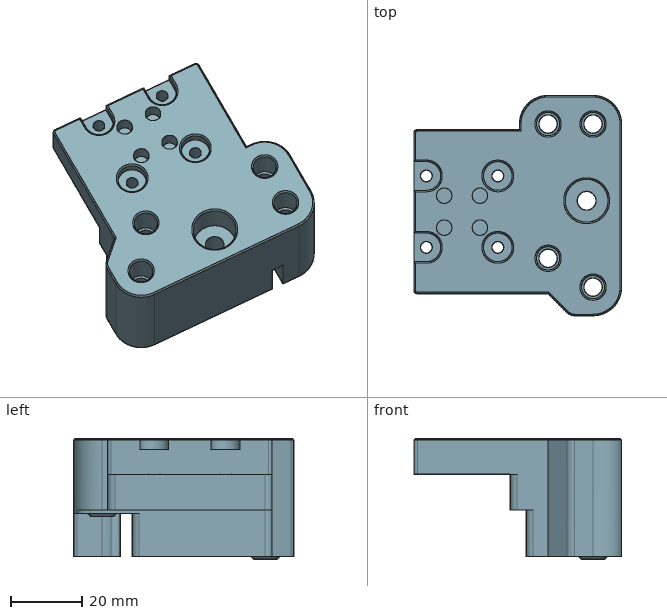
import cadquery as cq
import math

ARC_MIDDLE_INSET = 1 - math.sqrt(0.5)

length = 58.2
width = 61.75
height = 33.05
corner_radius = 8.0
top_chamfer = 0.45

plate_front = 6.2
plate_back = 52.2
plate_middle = (plate_front + plate_back) / 2
plate_thickness = 10.0
plate_corner_radius = 1.0
boss_left = 29.6
slant_corner_radius = 3.0

step_radius = 2.0
step_drop = 10.0
middle_step_left = 27.0
middle_step_z = height - plate_thickness
lower_step_left = 31.4
lower_step_z = middle_step_z - step_drop
boss_blend_radius = 4.0

recess_z = 12.05
recess_front = 45.3
leg_front = 48.65
leg_corner_radius = 1.0
leg_clearance_radius = 8.0

left_screw_x = boss_left + corner_radius
right_screw_x = length - corner_radius
back_screw_y = width - corner_radius
front_screw_y = corner_radius
inner_screw_y = 16.1
screw_points = [
    (left_screw_x, back_screw_y),
    (right_screw_x, back_screw_y),
    (left_screw_x, inner_screw_y),
    (right_screw_x, front_screw_y),
]
screw_diameter = 5.05
screw_bore_diameter = 6.5
screw_bore_depth = 10.0

seat_diameter = 8.0
seat_height = 0.8
seat_tip_diameter = seat_diameter - 2 * seat_height

bore_point = (48.4, 32.2)
bore_diameter = 12.0
bore_depth = screw_bore_depth
bore_hole_diameter = 5.2

pocket_spacing = 20.0
left_pocket_x = 3.5
right_pocket_x = left_pocket_x + pocket_spacing
pocket_ys = [plate_middle - pocket_spacing / 2, plate_middle + pocket_spacing / 2]
pocket_diameter = 8.0
pocket_depth = 3.0
mount_hole_diameter = 3.2

blind_spacing_x = pocket_spacing / 2
blind_spacing_y = 8.95
blind_diameter = 4.3
blind_depth = 5.0
blind_centre = ((left_pocket_x + right_pocket_x) / 2, plate_middle)


def outline_block():
    """Full-height block with the outline of the top face."""
    slant_foot_x = left_screw_x + plate_front
    block = (
        cq.Workplane("XY")
        .moveTo(0, plate_front)
        .lineTo(left_screw_x, plate_front)
        .lineTo(slant_foot_x, 0)
        .lineTo(length, 0)
        .lineTo(length, width)
        .lineTo(boss_left, width)
        .lineTo(boss_left, plate_back)
        .lineTo(0, plate_back)
        .close()
        .extrude(height)
    )

    def round_corners(solid, points, radius):
        for x, y in points:
            corner = cq.selectors.NearestToPointSelector((x, y, height / 2))
            solid = solid.edges("|Z").edges(corner).fillet(radius)
        return solid

    block = round_corners(block, [(0, plate_front), (0, plate_back)], plate_corner_radius)
    block = round_corners(block, [(slant_foot_x, 0)], slant_corner_radius)
    return round_corners(block, [(length, 0), (length, width), (boss_left, width)], corner_radius)


def box(x_min, x_max, y_min, y_max, z_min, z_max):
    """Box given by its limits."""
    block = cq.Workplane("XY").box(x_max - x_min, y_max - y_min, z_max - z_min, centered=False)
    return block.translate((x_min, y_min, z_min))


def cylinders(points, diameter, z_min, z_max):
    """Upright cylinders between two heights."""
    base = cq.Workplane("XY", origin=(0, 0, z_min)).pushPoints(points)
    return base.circle(diameter / 2).extrude(z_max - z_min)


def middle_step_cut():
    """Space left of the middle step; the step has both of its left corners rounded."""
    step = box(middle_step_left, length, plate_front, plate_back, lower_step_z, middle_step_z)
    step = step.edges("|Z and <X").fillet(step_radius)
    return box(0, boss_left, plate_front, plate_back, lower_step_z, middle_step_z).cut(step)


def lower_step_cut():
    """Space left of the lower step, blending at the back into the rounded corner of the boss."""
    blend_x = lower_step_left + boss_blend_radius
    centre_distance = corner_radius - boss_blend_radius
    centre_dx = left_screw_x - blend_x
    blend_y = back_screw_y + math.sqrt(centre_distance**2 - centre_dx**2)
    reach = corner_radius / centre_distance
    tangent_x = left_screw_x - reach * centre_dx
    tangent_y = back_screw_y + reach * (blend_y - back_screw_y)
    middle_angle = (math.pi + math.atan2(blend_y - back_screw_y, -centre_dx)) / 2
    blend_middle = (
        blend_x + boss_blend_radius * math.cos(middle_angle),
        blend_y + boss_blend_radius * math.sin(middle_angle),
    )
    front_middle = (
        lower_step_left + step_radius * ARC_MIDDLE_INSET,
        plate_front + step_radius * ARC_MIDDLE_INSET,
    )
    return (
        cq.Workplane("XY")
        .moveTo(0, plate_front)
        .lineTo(lower_step_left + step_radius, plate_front)
        .threePointArc(front_middle, (lower_step_left, plate_front + step_radius))
        .lineTo(lower_step_left, blend_y)
        .threePointArc(blend_middle, (tangent_x, tangent_y))
        .lineTo(tangent_x, width)
        .lineTo(0, width)
        .close()
        .extrude(lower_step_z)
    )


def leg():
    """Leg behind the slot, hollowed around the back left screw and rounded off at its front."""
    leg_left = left_screw_x + leg_clearance_radius
    round_y = leg_front + step_radius
    centre_distance = leg_clearance_radius + step_radius
    round_x = left_screw_x + math.sqrt(centre_distance**2 - (back_screw_y - round_y) ** 2)
    hollow_angle = math.atan2(round_y - back_screw_y, round_x - left_screw_x)

    def on_hollow(angle):
        return (
            left_screw_x + leg_clearance_radius * math.cos(angle),
            back_screw_y + leg_clearance_radius * math.sin(angle),
        )

    round_middle_angle = (hollow_angle + math.pi + 1.5 * math.pi) / 2
    round_middle = (
        round_x + step_radius * math.cos(round_middle_angle),
        round_y + step_radius * math.sin(round_middle_angle),
    )
    corner_inset = leg_corner_radius * ARC_MIDDLE_INSET
    return (
        cq.Workplane("XY")
        .moveTo(length, leg_front)
        .lineTo(round_x, leg_front)
        .threePointArc(round_middle, on_hollow(hollow_angle))
        .threePointArc(on_hollow(hollow_angle / 2), (leg_left, back_screw_y))
        .lineTo(leg_left, width - leg_corner_radius)
        .threePointArc(
            (leg_left + corner_inset, width - corner_inset), (leg_left + leg_corner_radius, width)
        )
        .lineTo(length, width)
        .close()
        .extrude(recess_z)
    )


def recess_cut():
    """Recess and slot around the leg; the block beside it has a rounded corner."""
    block = box(lower_step_left, length, plate_front, recess_front, 0, recess_z)
    block = block.edges("|Z and <X and >Y").fillet(step_radius)
    space = box(lower_step_left, length, recess_front - step_radius, width, 0, recess_z)
    return space.cut(block).cut(leg())


def seat(point, z):
    """Cone standing out downwards from the underside at height z."""
    return (
        cq.Workplane("XY", origin=(point[0], point[1], z))
        .circle(seat_diameter / 2)
        .workplane(offset=-seat_height)
        .circle(seat_tip_diameter / 2)
        .loft()
    )


def top_recesses():
    """Round recesses whose rims are chamfered."""
    right_pockets = [(right_pocket_x, y) for y in pocket_ys]
    left_pockets = [(left_pocket_x, y) for y in pocket_ys]
    recesses = cylinders(screw_points, screw_bore_diameter, height - screw_bore_depth, height)
    recesses = recesses.union(cylinders([bore_point], bore_diameter, height - bore_depth, height))
    pocket_floor = height - pocket_depth
    recesses = recesses.union(cylinders(right_pockets + left_pockets, pocket_diameter, pocket_floor, height))
    for x, y in left_pockets:
        half = pocket_diameter / 2
        recesses = recesses.union(box(0, x, y - half, y + half, pocket_floor, height))
    return recesses


body = outline_block()
body = body.cut(box(0, middle_step_left, plate_front, plate_back, 0, middle_step_z))
body = body.cut(middle_step_cut()).cut(lower_step_cut()).cut(recess_cut())

body = body.cut(top_recesses())
body = body.faces(">Z").edges().chamfer(top_chamfer)

body = body.union(seat((left_screw_x, back_screw_y), recess_z))
body = body.union(seat((right_screw_x, front_screw_y), 0))

mount_points = [(x, y) for x in (left_pocket_x, right_pocket_x) for y in pocket_ys]
body = body.cut(cylinders(screw_points, screw_diameter, -seat_height, height))
body = body.cut(cylinders([bore_point], bore_hole_diameter, 0, height))
body = body.cut(cylinders(mount_points, mount_hole_diameter, 0, height))
blind_holes = (
    cq.Workplane("XY", origin=(blind_centre[0], blind_centre[1], height - blind_depth))
    .rarray(blind_spacing_x, blind_spacing_y, 2, 2)
    .circle(blind_diameter / 2)
    .extrude(blind_depth)
)
result = body.cut(blind_holes)